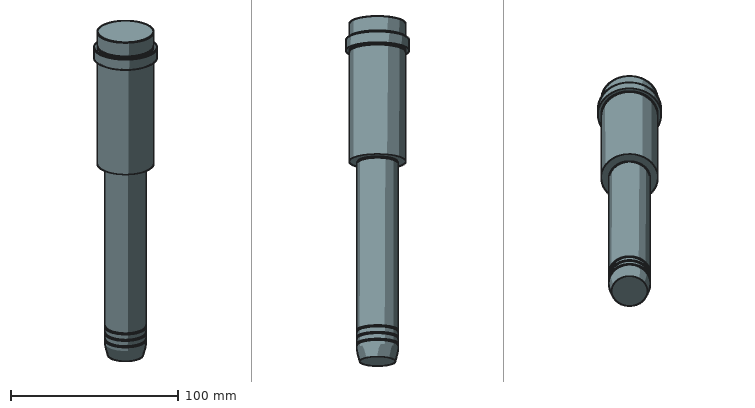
import cadquery as cq

total_height = 210.0
collar_top = 200.0
collar_height = 7.0
body_bottom = 124.1
neck_height = 1.0
nose_height = 7.5
nose_bulge = 0.2

body_diameter = 34.0
collar_diameter = 38.0
pin_diameter = 25.0
neck_diameter = 24.0
tip_diameter = 21.5

collar_chamfer = 0.5
top_chamfer = 0.5
groove_width = 1.0
groove_depth = 0.5
groove_pitch = 4.2
groove_count = 3
lowest_groove = 10.3


def cylinder(diameter, bottom, top):
    """Solid cylinder on the Z axis between two heights."""
    return cq.Workplane("XY").workplane(offset=bottom).circle(diameter / 2).extrude(top - bottom)


def ring_groove(diameter, center_height):
    """Cutter for a V groove around a cylinder of the given diameter."""
    radius = diameter / 2
    half_width = groove_width / 2
    return (
        cq.Workplane("XZ")
        .moveTo(radius, center_height - half_width)
        .lineTo(radius, center_height + half_width)
        .lineTo(radius - groove_depth, center_height)
        .close()
        .revolve(360, (0, 0, 0), (0, 1, 0))
    )


def make_pin():
    """Grooved pin with a slightly convex tapered nose and a narrow neck."""
    pin_radius = pin_diameter / 2
    tip_radius = tip_diameter / 2
    neck_bottom = body_bottom - neck_height
    pin = (
        cq.Workplane("XZ")
        .lineTo(tip_radius, 0)
        .sagittaArc((pin_radius, nose_height), -nose_bulge)
        .lineTo(pin_radius, neck_bottom)
        .lineTo(0, neck_bottom)
        .close()
        .revolve(360, (0, 0, 0), (0, 1, 0))
    )
    for index in range(groove_count):
        pin = pin.cut(ring_groove(pin_diameter, lowest_groove + index * groove_pitch))
    return pin.union(cylinder(neck_diameter, neck_bottom, body_bottom))


def make_head():
    """Wide chamfered body with a chamfered collar and a V groove on each side of it."""
    collar_bottom = collar_top - collar_height
    body = cylinder(body_diameter, body_bottom, total_height)
    body = body.faces(">Z").edges().chamfer(top_chamfer)
    for height in (collar_top + groove_width / 2, collar_bottom - groove_width / 2):
        body = body.cut(ring_groove(body_diameter, height))
    collar = cylinder(collar_diameter, collar_bottom, collar_top)
    collar = collar.faces(">Z").edges().chamfer(collar_chamfer)
    return body.union(collar)


result = make_pin().union(make_head())